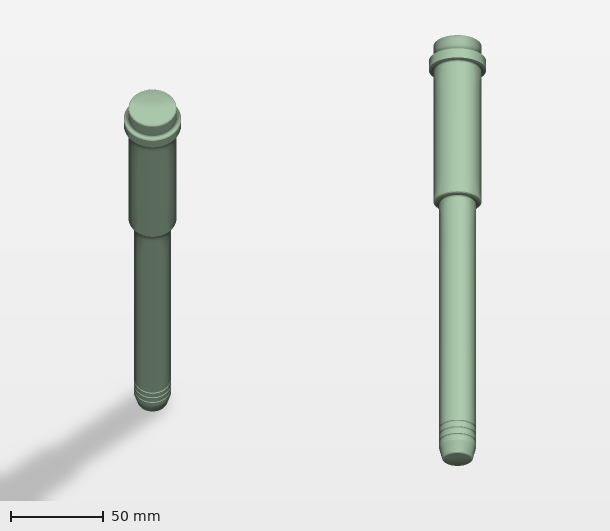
import cadquery as cq
import math

total_length = 250.0

flange_radius = 15.5
sleeve_radius = 13.0
pin_radius = 10.0

lead_height = 7.0
sleeve_bottom = 155.0
flange_bottom = 235.0
flange_top = 241.0

lead_angle = 15.0
edge_chamfer = 0.5

pin_relief_width = 1.0
pin_relief_depth = 0.5

round_groove_width = 1.0
oil_groove_count = 3
oil_groove_pitch = 4.0
first_oil_groove_bottom = 10.0


def cylinder(radius, bottom, top):
    """Solid cylinder about Z between two heights."""
    return cq.Workplane("XY").workplane(offset=bottom).circle(radius).extrude(top - bottom)


def lead_cone():
    """Tapered lead end with a chamfered tip."""
    taper = math.tan(math.radians(lead_angle))
    tip_radius = pin_radius - (lead_height - edge_chamfer) * taper
    return (
        cq.Workplane("XZ")
        .polyline([
            (0, 0),
            (tip_radius - edge_chamfer, 0),
            (tip_radius, edge_chamfer),
            (pin_radius, lead_height),
            (0, lead_height),
        ])
        .close()
        .revolve(360, (0, 0, 0), (0, 1, 0))
    )


def square_groove(radius, bottom, width, depth):
    """Ring to cut away, leaving a square groove in a cylinder of the given radius."""
    top = bottom + width
    return cylinder(radius, bottom, top).cut(cylinder(radius - depth, bottom, top))


def round_groove(radius, bottom):
    """Torus to cut away, leaving a half-round groove in a cylinder of the given radius."""
    groove_radius = round_groove_width / 2
    return (
        cq.Workplane("XZ")
        .center(radius, bottom + groove_radius)
        .circle(groove_radius)
        .revolve(360, (-radius, 0, 0), (-radius, 1, 0))
    )


pin = lead_cone().union(cylinder(pin_radius, lead_height, sleeve_bottom))
pin = pin.cut(
    square_groove(pin_radius, sleeve_bottom - pin_relief_width, pin_relief_width, pin_relief_depth)
)
for index in range(oil_groove_count):
    pin = pin.cut(round_groove(pin_radius, first_oil_groove_bottom + index * oil_groove_pitch))

sleeve = cylinder(sleeve_radius, sleeve_bottom, total_length)
sleeve = sleeve.faces("<Z or >Z").chamfer(edge_chamfer)
for groove_bottom in (flange_bottom - round_groove_width, flange_top):
    sleeve = sleeve.cut(round_groove(sleeve_radius, groove_bottom))

flange = cylinder(flange_radius, flange_bottom, flange_top).faces(">Z").chamfer(edge_chamfer)

result = pin.union(sleeve).union(flange)